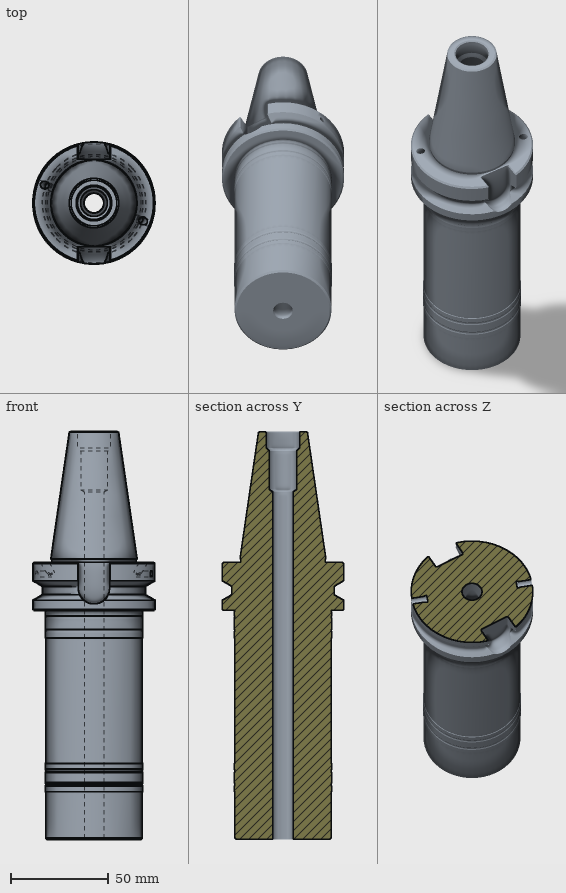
import cadquery as cq
import math


taper_length = 65.4
gauge_radius = 44.45 / 2
taper_ratio = 7 / 24
tip_radius = gauge_radius - taper_length * taper_ratio / 2
tip_chamfer_width = 0.9
tip_chamfer_height = 0.5
relief_radius = 21.9
taper_end = -0.2
taper_end_radius = gauge_radius - taper_end * taper_ratio / 2

flange_radius = 63 / 2
flange_top = -2.0
flange_bottom = -27.0
flange_chamfer = 0.8
groove_center = -16.6
groove_half_width = 5.0
groove_floor_radius = 26.6
groove_floor_fillet = 0.4
groove_angle = 60
groove_flank_height = (flange_radius - groove_floor_radius) * math.tan(math.radians(groove_angle / 2))
groove_top = groove_center + groove_half_width
groove_bottom = groove_center - groove_half_width

body_bottom = -145.0
body_radius = 50 / 2
band_radius = 50.5 / 2
band_step = band_radius - body_radius
bottom_chamfer = 0.9
upper_band_bottom = -40.9
lower_band_top = -105.8
lower_band_bottom = -120.15
flange_undercut_end = -28.0
sawtooth_tops = (-29.5, -36.5)
sawtooth_height = 1.8
sawtooth_shoulder = 0.3
ring_groove_tops = (-108.5, -115.5)
ring_groove_height = 2.0
ring_groove_flank_height = 0.55

through_radius = 10.11 / 2
thread_radius = 13.83 / 2
pilot_radius = 17 / 2
mouth_radius = 9.2
mouth_depth = 0.5
pilot_depth = 8.5
thread_depth = 30.0
drill_point_angle = 118

slot_width = 16.1
slot_floor_y = 22.5
slot_bottom = -23.5
slot_floor_fillet = 0.6
slot_edge_chamfer = 0.5

hole_angles = (160, 340)
inclined_hole_diameter = 3.9
inclined_hole_radius = 27.0
inclined_hole_tilt = 30
radial_hole_diameter = 3.24
radial_hole_z = -8.0


def sawtooth(top):
    """Radius and height points of a groove with a steep shoulder and a gently sloped run-out."""
    return [
        (band_radius, top),
        (body_radius, top - sawtooth_shoulder),
        (band_radius, top - sawtooth_height),
    ]


def ring_groove(top):
    """Radius and height points of a V-flanked groove with a flat floor."""
    bottom = top - ring_groove_height
    return [
        (band_radius, top),
        (body_radius, top - ring_groove_flank_height),
        (body_radius, bottom + ring_groove_flank_height),
        (band_radius, bottom),
    ]


def revolve(points):
    return cq.Workplane("XZ").polyline(points).close().revolve(360, (0, 0, 0), (0, 1, 0))


def make_blank():
    points = [
        (0, taper_length),
        (tip_radius - tip_chamfer_width, taper_length),
        (tip_radius + tip_chamfer_height * taper_ratio / 2, taper_length - tip_chamfer_height),
        (taper_end_radius, taper_end),
        (relief_radius, taper_end - (taper_end_radius - relief_radius)),
        (relief_radius, flange_top),
        (flange_radius - flange_chamfer, flange_top),
        (flange_radius, flange_top - flange_chamfer),
        (flange_radius, groove_top),
        (groove_floor_radius, groove_top - groove_flank_height),
        (groove_floor_radius, groove_bottom + groove_flank_height),
        (flange_radius, groove_bottom),
        (flange_radius, flange_bottom + flange_chamfer),
        (flange_radius - flange_chamfer, flange_bottom),
        (body_radius, flange_bottom),
        (band_radius, flange_undercut_end),
    ]
    for top in sawtooth_tops:
        points += sawtooth(top)
    points += [
        (band_radius, upper_band_bottom),
        (body_radius, upper_band_bottom - band_step),
        (body_radius, lower_band_top + band_step),
        (band_radius, lower_band_top),
    ]
    for top in ring_groove_tops:
        points += ring_groove(top)
    points += [
        (band_radius, lower_band_bottom),
        (body_radius, lower_band_bottom - band_step),
        (body_radius, body_bottom + bottom_chamfer),
        (body_radius - bottom_chamfer, body_bottom),
        (0, body_bottom),
    ]
    blank = revolve(points)
    floor_edges = cq.selectors.BoxSelector(
        (-flange_radius, -flange_radius, groove_bottom + groove_flank_height / 2),
        (flange_radius, flange_radius, groove_top - groove_flank_height / 2),
    )
    return blank.edges(floor_edges).edges("%CIRCLE").fillet(groove_floor_fillet)


def make_bore():
    pilot_end = taper_length - pilot_depth
    thread_end = taper_length - thread_depth
    point_height = (thread_radius - through_radius) / math.tan(math.radians(drill_point_angle / 2))
    return revolve([
        (0, taper_length),
        (mouth_radius, taper_length),
        (pilot_radius, taper_length - mouth_depth),
        (pilot_radius, pilot_end),
        (thread_radius, pilot_end - (pilot_radius - thread_radius)),
        (thread_radius, thread_end),
        (through_radius, thread_end - point_height),
        (through_radius, body_bottom),
        (0, body_bottom),
    ])


def make_slot(side):
    """Cutter for one drive slot: straight walls, round lower end and a filleted floor edge."""
    half_width = slot_width / 2
    arc_center_z = slot_bottom + half_width
    cutter = (
        cq.Workplane("XZ", origin=(0, -slot_floor_y, 0))
        .moveTo(-half_width, 0)
        .lineTo(-half_width, arc_center_z)
        .threePointArc((0, slot_bottom), (half_width, arc_center_z))
        .lineTo(half_width, 0)
        .close()
        .extrude(flange_radius)
        .faces(">Y").edges("not >Z").fillet(slot_floor_fillet)
    )
    return cutter if side < 0 else cutter.mirror("XZ")


def make_slot_chamfer(side, wall):
    """Cutter for the top and outer edges of one slot wall in the upper flange half."""
    c = slot_edge_chamfer
    wall_x = slot_width / 2
    outer_y = math.sqrt(flange_radius ** 2 - wall_x ** 2)
    top_edge = (
        cq.Workplane("XZ", origin=(0, -slot_floor_y, 0))
        .polyline([(wall_x, flange_top), (wall_x + c, flange_top), (wall_x, flange_top - c)])
        .close()
        .extrude(flange_radius - slot_floor_y)
    )
    outer_edge = (
        cq.Workplane("XY", origin=(0, 0, groove_top))
        .polyline([
            (wall_x, -outer_y + c),
            (wall_x, -flange_radius),
            (wall_x + c, -flange_radius),
            (wall_x + c, -outer_y),
        ])
        .close()
        .extrude(flange_top - groove_top)
    )
    cutter = top_edge.union(outer_edge)
    if wall < 0:
        cutter = cutter.mirror("YZ")
    if side > 0:
        cutter = cutter.mirror("XZ")
    return cutter


def make_flange_hole(angle):
    """Cutter for an inclined hole from the flange top and the radial hole that meets its end."""
    tilt = math.radians(inclined_hole_tilt)
    drop = flange_top - radial_hole_z
    meeting_radius = inclined_hole_radius - drop * math.tan(tilt)
    lead_in = inclined_hole_diameter
    inclined = cq.Workplane(cq.Solid.makeCylinder(
        inclined_hole_diameter / 2,
        drop / math.cos(tilt) + lead_in,
        cq.Vector(meeting_radius, 0, radial_hole_z),
        cq.Vector(math.sin(tilt), 0, math.cos(tilt)),
    ))
    radial = (
        cq.Workplane("YZ", origin=(meeting_radius, 0, radial_hole_z))
        .circle(radial_hole_diameter / 2)
        .extrude(flange_radius - meeting_radius)
    )
    return inclined.union(radial).rotate((0, 0, 0), (0, 0, 1), angle)


result = make_blank().cut(make_bore())
for side in (-1, 1):
    result = result.cut(make_slot(side))
    for wall in (-1, 1):
        result = result.cut(make_slot_chamfer(side, wall))
for angle in hole_angles:
    result = result.cut(make_flange_hole(angle))